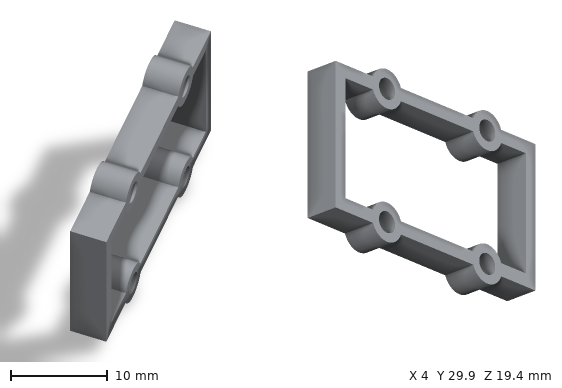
import cadquery as cq

thickness = 4.0
frame_length = 29.85
rail_width = 1.5
end_wall = 1.43

hole_spacing = 15.0
hole_diameter = 2.4
boss_diameter = 4.42
boss_shift = 0.25

frame_height = hole_spacing + rail_width
window_length = frame_length - 2 * end_wall
window_height = hole_spacing - rail_width

boss_centers = [
    (boss_shift + side_y * hole_spacing / 2, side_z * hole_spacing / 2)
    for side_y in (-1, 1)
    for side_z in (-1, 1)
]


def boss_cylinders(diameter):
    """Cylinders through the full thickness at every boss centre."""
    return cq.Workplane("YZ").pushPoints(boss_centers).circle(diameter / 2).extrude(thickness)


frame = (
    cq.Workplane("YZ")
    .rect(frame_length, frame_height)
    .rect(window_length, window_height)
    .extrude(thickness)
)

result = frame.union(boss_cylinders(boss_diameter)).cut(boss_cylinders(hole_diameter))